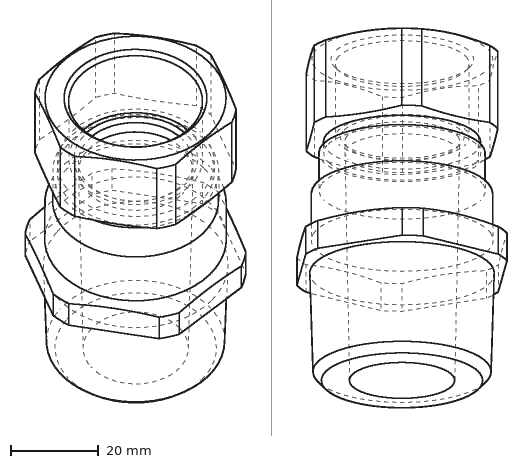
import cadquery as cq
import math

total_height = 77.75
nut_bottom = 57.7
neck_bottom = 55.05
collar_bottom = 45.95
flange_top = 34.0
flange_bottom = 26.0
entry_chamfer_height = 2.1

nut_flats = 42.0
nut_corner_diameter = 46.1
flange_flats = 46.0
flange_corner_diameter = 50.6

nut_face_radius = 20.6
nut_top_bevel = 0.85
nut_bottom_bevel = 0.55
flange_bevel = 1.3

neck_radius = 17.9
collar_radius = 18.9
shoulder_radius = 20.7
shoulder_fillet = 1.0
taper_top_radius = 21.0
taper_bottom_radius = 20.3
entry_radius = 18.35

socket_radius = 15.25
socket_floor = 58.9
chamfer_width = 1.0
bore_outlet_radius = 12.0
bore_inlet_radius = 13.1
bore_inlet_height = socket_floor - chamfer_width

bore_growth = (bore_inlet_radius - bore_outlet_radius) / bore_inlet_height
bore_joint_radius = bore_outlet_radius + bore_growth * neck_bottom


def revolve_profile(points):
    """Revolve a closed (radius, height) outline about the Z axis."""
    return cq.Workplane("XZ").polyline(points).close().revolve(360, (0, 0, 0), (0, 1, 0))


def hexagon_prism(flats, bottom, top):
    """Hexagonal prism with two flats facing -X and +X."""
    point_diameter = flats / math.cos(math.pi / 6)
    return (
        cq.Workplane("XY")
        .workplane(offset=bottom)
        .transformed(rotate=(0, 0, 30))
        .polygon(6, point_diameter)
        .extrude(top - bottom)
    )


def make_nut():
    """Hexagonal nut with a neck below it and a stepped, tapering bore."""
    corner_radius = nut_corner_diameter / 2
    blank = revolve_profile([
        (0, nut_bottom),
        (nut_face_radius, nut_bottom),
        (corner_radius, nut_bottom + nut_bottom_bevel),
        (corner_radius, total_height - nut_top_bevel),
        (nut_face_radius, total_height),
        (0, total_height),
    ])
    head = blank.intersect(hexagon_prism(nut_flats, nut_bottom, total_height))
    neck = (
        cq.Workplane("XY")
        .workplane(offset=neck_bottom)
        .circle(neck_radius)
        .extrude(nut_bottom - neck_bottom)
    )
    bore = revolve_profile([
        (0, neck_bottom),
        (bore_joint_radius, neck_bottom),
        (bore_inlet_radius, bore_inlet_height),
        (bore_inlet_radius + chamfer_width, socket_floor),
        (socket_radius, socket_floor),
        (socket_radius, total_height - chamfer_width),
        (socket_radius + chamfer_width, total_height),
        (0, total_height),
    ])
    return head.union(neck).cut(bore)


def make_body():
    """Tapered spigot, hexagonal flange, rounded shoulder and collar with a tapered through bore."""
    corner_radius = flange_corner_diameter / 2
    spigot = revolve_profile([
        (0, 0),
        (entry_radius, 0),
        (taper_bottom_radius, entry_chamfer_height),
        (taper_top_radius, flange_bottom),
        (0, flange_bottom),
    ])
    flange_blank = revolve_profile([
        (0, flange_bottom),
        (corner_radius, flange_bottom),
        (corner_radius, flange_top - flange_bevel),
        (shoulder_radius, flange_top),
        (0, flange_top),
    ])
    flange = flange_blank.intersect(hexagon_prism(flange_flats, flange_bottom, flange_top))
    shoulder = (
        cq.Workplane("XY")
        .workplane(offset=flange_top)
        .circle(shoulder_radius)
        .extrude(collar_bottom - flange_top)
        .faces(">Z")
        .edges()
        .fillet(shoulder_fillet)
    )
    collar = (
        cq.Workplane("XY")
        .workplane(offset=collar_bottom)
        .circle(collar_radius)
        .extrude(neck_bottom - collar_bottom)
    )
    bore = revolve_profile([
        (0, 0),
        (bore_outlet_radius, 0),
        (bore_joint_radius, neck_bottom),
        (0, neck_bottom),
    ])
    return spigot.union(flange).union(shoulder).union(collar).cut(bore)


nut = make_nut()
body = make_body()
result = cq.Compound.makeCompound([nut.val(), body.val()])